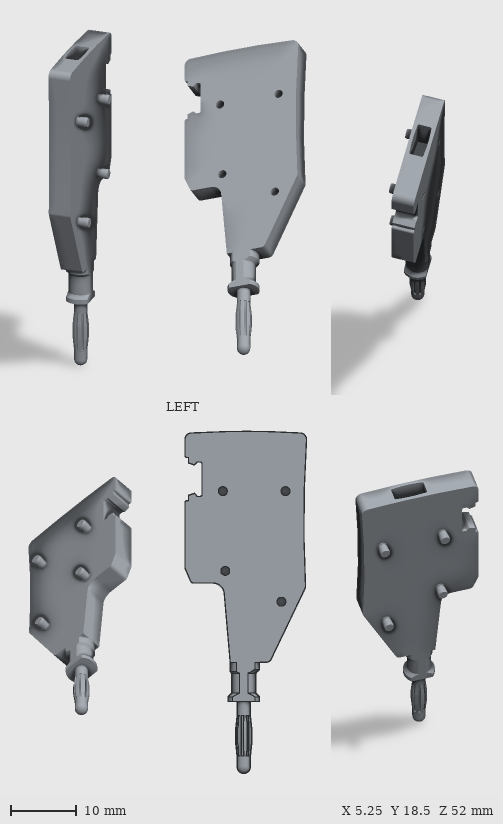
import cadquery as cq
import math


plate_thickness = 3.5
height = 51.95
back_y = 8.95
top_front_y = -9.6
waist_y = -9.15
waist_z = 37.4
chin_y = -9.4
chin_z = 28.25
bottom_z = 16.9
bottom_front_y = -3.95
bottom_back_y = 2.1
heel_z = 28.9
heel_y = 7.95
heel_slant_top_z = 31.15
leg_top_y = 3.1
top_crown = 0.3

notch_mid_z = 44.7
notch_floor_y = 6.35
lip_y = 8.4
hook_tip_y = 7.5
groove_start_y = 7.05
mouth_half = 3.25
lip_half = 2.45
hook_half = 2.15
groove_half = 2.6

top_round = 1.05
chin_round = 0.8
toe_round = 0.8
heel_round = 0.6
leg_round = 1.65
mouth_round = 0.3
groove_round = 0.25

neck_diameter = 3.7
collar_diameter = 4.85
neck_bottom_z = 10.9
collar_rim_height = 0.75
shoulder_z = 15.2

pocket_y = -1.55
pocket_length = 5.15
pocket_end_width = 2.15
pocket_mid_width = 2.45
pocket_depth = 6.25
pocket_round = 0.2

joint_places = [(3.15, 42.85), (-6.35, 42.85), (2.8, 30.75), (-5.7, 26.1)]
peg_length = 1.75
peg_diameter = 1.4
peg_groove_radius = 0.6
peg_bead_radius = 0.8
peg_groove_start = 0.2
peg_groove_end = 0.45
peg_bead_start = 1.4
hole_radius = 0.7
hole_depth = 1.8

plug_diameter = 2.05
bulge_diameter = 2.55
bulge_bottom_z = 2.55
bulge_top_z = 8.85
slot_count = 8
slot_width = 0.35
slot_floor_radius = 0.85
slot_bottom_margin = 0.15
slot_offset_angle = 33.5

half_thickness = plate_thickness / 2
neck_radius = neck_diameter / 2
collar_radius = collar_diameter / 2
peg_radius = peg_diameter / 2
plug_radius = plug_diameter / 2
bulge_radius = bulge_diameter / 2
shoulder_front_radius = collar_radius
shoulder_back_radius = bottom_back_y


def notch_half(side):
    """Points of one half of the notch, from its mouth to its floor; side is +1 above, -1 below."""
    profile = [
        (back_y, mouth_half),
        (lip_y, mouth_half),
        (lip_y, lip_half),
        (hook_tip_y, hook_half),
        (groove_start_y, groove_half),
        (notch_floor_y, groove_half),
    ]
    return [(y, notch_mid_z + side * half_gap) for y, half_gap in profile]


def round_outline(body, places, radius):
    """Round the plate edges that run along X through the given (y, z) corners."""
    for y, z in places:
        body = body.edges(cq.selectors.NearestToPointSelector((0, y, z))).fillet(radius)
    return body


def make_plate():
    corner_z = height - top_crown
    top_mid_y = (back_y + top_front_y) / 2
    upper_notch = notch_half(1)
    lower_notch = notch_half(-1)
    plate = (
        cq.Workplane("YZ", origin=(-half_thickness, 0, 0))
        .moveTo(back_y, corner_z)
        .threePointArc((top_mid_y, height), (top_front_y, corner_z))
        .threePointArc((waist_y, waist_z), (chin_y, chin_z))
        .lineTo(bottom_front_y, bottom_z)
        .lineTo(bottom_back_y, bottom_z)
        .lineTo(leg_top_y, heel_z)
        .lineTo(heel_y, heel_z)
        .lineTo(back_y, heel_slant_top_z)
    )
    for y, z in lower_notch + upper_notch[::-1]:
        plate = plate.lineTo(y, z)
    plate = plate.close().extrude(plate_thickness)

    plate = round_outline(plate, [(back_y, corner_z), (top_front_y, corner_z)], top_round)
    plate = round_outline(plate, [(chin_y, chin_z)], chin_round)
    plate = round_outline(plate, [(bottom_front_y, bottom_z)], toe_round)
    plate = round_outline(plate, [(heel_y, heel_z)], heel_round)
    plate = round_outline(plate, [(leg_top_y, heel_z)], leg_round)
    plate = round_outline(plate, [upper_notch[0], lower_notch[0]], mouth_round)
    return round_outline(plate, [upper_notch[-1], lower_notch[-1]], groove_round)


def shoulder(radius, start_angle):
    """Half of the shoulder under the plate, tapering at 45 degrees into the neck."""
    rim_z = shoulder_z + radius - neck_radius
    profile = cq.Workplane("XZ").polyline(
        [(0, shoulder_z), (neck_radius, shoulder_z), (radius, rim_z), (radius, bottom_z), (0, bottom_z)]
    )
    half = profile.close().revolve(180, (0, 0, 0), (0, 1, 0))
    return half.rotate((0, 0, 0), (0, 0, 1), start_angle)


def make_neck():
    """Round neck with a collar at its foot, flattened to the plate thickness."""
    rim_z = neck_bottom_z + collar_rim_height
    taper_z = rim_z + collar_radius - neck_radius
    shaft = (
        cq.Workplane("XZ")
        .polyline(
            [
                (0, neck_bottom_z),
                (collar_radius, neck_bottom_z),
                (collar_radius, rim_z),
                (neck_radius, taper_z),
                (neck_radius, bottom_z),
                (0, bottom_z),
            ]
        )
        .close()
        .revolve(360, (0, 0, 0), (0, 1, 0))
    )
    neck = shaft.union(shoulder(shoulder_front_radius, 180)).union(shoulder(shoulder_back_radius, 0))
    flats = cq.Workplane("XY").box(plate_thickness, 2 * collar_diameter, 2 * height)
    return neck.intersect(flats)


def make_pocket():
    """Cutter for the pocket, whose long sides bow outward."""
    half_length = pocket_length / 2
    half_end = pocket_end_width / 2
    half_mid = pocket_mid_width / 2
    return (
        cq.Workplane("XY", origin=(0, pocket_y, height - pocket_depth))
        .moveTo(-half_end, -half_length)
        .lineTo(half_end, -half_length)
        .threePointArc((half_mid, 0), (half_end, half_length))
        .lineTo(-half_end, half_length)
        .threePointArc((-half_mid, 0), (-half_end, -half_length))
        .close()
        .extrude(pocket_depth)
        .edges("|Z")
        .fillet(pocket_round)
    )


def make_peg(y, z):
    """Peg on the +X face with a groove at its root and a bead near its end."""
    profile = [
        (0, 0),
        (0, peg_radius),
        (peg_groove_start, peg_radius),
        (peg_groove_start, peg_groove_radius),
        (peg_groove_end, peg_groove_radius),
        (peg_groove_end, peg_radius),
        (peg_bead_start, peg_bead_radius),
        (peg_length, peg_radius),
        (peg_length, 0),
    ]
    peg = cq.Workplane("XY").polyline(profile).close().revolve(360, (0, 0, 0), (1, 0, 0))
    return peg.translate((half_thickness, y, z))


def make_housing():
    holes = (
        cq.Workplane("YZ", origin=(-half_thickness, 0, 0))
        .pushPoints(joint_places)
        .circle(hole_radius)
        .extrude(hole_depth)
    )
    housing = make_plate().union(make_neck()).cut(make_pocket()).cut(holes)
    for y, z in joint_places:
        housing = housing.union(make_peg(y, z))
    return housing


def make_plug():
    """Round-nosed plug with a bulging, slotted spring section."""
    nose_mid = plug_radius * math.sqrt(0.5)
    bulge_mid_z = (bulge_bottom_z + bulge_top_z) / 2
    plug = (
        cq.Workplane("XZ")
        .moveTo(0, 0)
        .threePointArc((nose_mid, plug_radius - nose_mid), (plug_radius, plug_radius))
        .lineTo(plug_radius, bulge_bottom_z)
        .threePointArc((bulge_radius, bulge_mid_z), (plug_radius, bulge_top_z))
        .lineTo(plug_radius, neck_bottom_z)
        .lineTo(0, neck_bottom_z)
        .close()
        .revolve(360, (0, 0, 0), (0, 1, 0))
    )
    slot_depth = bulge_radius - slot_floor_radius
    slot_bottom_z = bulge_bottom_z + slot_bottom_margin
    slot = (
        cq.Workplane("XY")
        .box(slot_depth, slot_width, bulge_top_z - slot_bottom_z, centered=(False, True, False))
        .translate((slot_floor_radius, 0, slot_bottom_z))
    )
    for index in range(slot_count):
        angle = slot_offset_angle + index * 360 / slot_count
        plug = plug.cut(slot.rotate((0, 0, 0), (0, 0, 1), angle))
    return plug


housing = make_housing()
plug = make_plug()
result = cq.Compound.makeCompound([housing.val(), plug.val()])